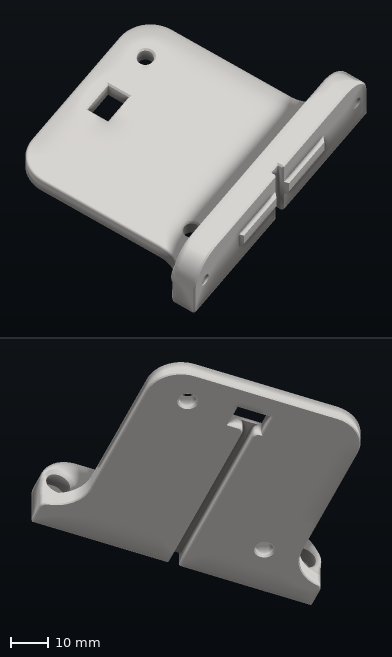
import cadquery as cq
import math

wall_length = 81.1
wall_height = 20.0
wall_thickness = 8.0
corner_radius = wall_height / 2
plate_thickness = 5.0
wall_back_x = 66.8
wall_front_x = wall_back_x - wall_thickness
half_length = wall_length / 2
half_width = half_length - corner_radius

wall_fillet = 1.95
plate_fillet = 1.0
edge_chamfer = 0.5
underside_chamfer = 0.3

wall_hole_diameter = 3.4
counterbore_diameter = 7.0
counterbore_mouth_chamfer = 1.0
counterbore_depth = 5.0
wall_hole_y = 35.5
wall_hole_z = wall_height / 2

plate_hole_diameter = 4.7
plate_hole_places = [(9.6, 18.8), (52.3, -21.0)]

window_length = 6.8
window_width = 9.7
window_center = (10.0, 0.7)
channel_width = 3.0
channel_depth = 3.5
channel_y = -0.65
channel_flare = 1.8
notch_depth = 1.7

pad_height = 1.0
pad_outer_y = 19.8
pad_width = 5.7


def make_plate():
    """Rounded plate whose sides flare out to the full wall length and round over at the flare tips."""
    bend = corner_radius * math.sqrt(0.5)
    flare_center_x = wall_front_x - corner_radius

    center_gap = corner_radius + wall_fillet
    tip_angle = math.asin(wall_fillet / center_gap)
    tip_center_x = flare_center_x + center_gap * math.cos(tip_angle)
    tip_center_y = half_length - wall_fillet
    flare_end = (
        flare_center_x + corner_radius * math.cos(tip_angle),
        half_length - corner_radius * math.sin(tip_angle),
    )
    flare_middle_angle = (tip_angle + math.pi / 2) / 2
    flare_middle = (
        flare_center_x + corner_radius * math.cos(flare_middle_angle),
        half_length - corner_radius * math.sin(flare_middle_angle),
    )
    tip_middle_angle = (tip_angle + math.pi / 2) / 2
    tip_middle = (
        tip_center_x - wall_fillet * math.sin(tip_middle_angle),
        tip_center_y + wall_fillet * math.cos(tip_middle_angle),
    )

    half = (
        cq.Workplane("XY")
        .lineTo(0, half_width - corner_radius)
        .threePointArc(
            (corner_radius - bend, half_width - corner_radius + bend),
            (corner_radius, half_width),
        )
        .lineTo(flare_center_x, half_width)
        .threePointArc(flare_middle, flare_end)
        .threePointArc(tip_middle, (tip_center_x, half_length))
        .lineTo(wall_back_x, half_length)
        .lineTo(wall_back_x, 0)
        .close()
        .extrude(plate_thickness)
    )
    plate = half.union(half.mirror("XZ")).clean()
    return plate.faces(">Z").edges("not >X").fillet(plate_fillet)


def make_wall():
    """Upright wall with rounded upper corners and a rounded front edge."""
    outline = (
        cq.Workplane("YZ", origin=(wall_front_x, 0, 0))
        .moveTo(-half_length, 0)
        .lineTo(-half_length, wall_height - corner_radius)
        .radiusArc((-half_width, wall_height), corner_radius)
        .lineTo(half_width, wall_height)
        .radiusArc((half_length, wall_height - corner_radius), corner_radius)
        .lineTo(half_length, 0)
        .close()
    )
    wall = outline.extrude(wall_thickness)
    for side in (1, -1):
        wall = wall.cut(make_wall_hole(side * wall_hole_y))

    front_box = cq.selectors.BoxSelector(
        (wall_front_x - 0.8, -half_length - 0.8, 0.1), (wall_front_x + 0.8, half_length + 0.8, wall_height + 0.8)
    )
    return wall.faces("<X").edges(front_box).edges("not %CIRCLE").fillet(wall_fillet)


def make_cable_route():
    """Window, underside channel and wall notch, joined into one cutter."""
    window_x, window_y = window_center
    window_end_x = window_x + window_length / 2
    window = (
        cq.Workplane("XY")
        .center(window_x, window_y)
        .rect(window_length, window_width)
        .extrude(plate_thickness)
    )
    side = channel_width / 2
    channel = (
        cq.Workplane("XY", origin=(window_end_x, channel_y, 0))
        .moveTo(0, -side - channel_flare)
        .radiusArc((channel_flare, -side), channel_flare)
        .lineTo(wall_back_x - window_end_x, -side)
        .lineTo(wall_back_x - window_end_x, side)
        .lineTo(channel_flare, side)
        .radiusArc((0, side + channel_flare), channel_flare)
        .close()
        .extrude(channel_depth)
    )
    notch = cq.Workplane("XY").box(
        notch_depth, channel_width, wall_height, centered=(False, True, False)
    ).translate((wall_back_x - notch_depth, channel_y, 0))
    return window.union(channel).union(notch)


def make_plate_hole(x, y):
    """Through hole with both mouths chamfered."""
    radius = plate_hole_diameter / 2
    mouth = radius + edge_chamfer
    return (
        cq.Workplane("XZ", origin=(x, y, 0))
        .lineTo(mouth, 0)
        .lineTo(radius, edge_chamfer)
        .lineTo(radius, plate_thickness - edge_chamfer)
        .lineTo(mouth, plate_thickness)
        .lineTo(0, plate_thickness)
        .close()
        .revolve(360, (0, 0, 0), (0, 1, 0))
    )


def make_wall_hole(y):
    """Counterbored hole along X, its wide mouth chamfered at the wall front."""
    small = wall_hole_diameter / 2
    large = counterbore_diameter / 2
    mouth = large + counterbore_mouth_chamfer
    return (
        cq.Workplane("XY", origin=(wall_front_x, y, wall_hole_z))
        .lineTo(0, mouth)
        .lineTo(counterbore_mouth_chamfer, large)
        .lineTo(counterbore_depth, large)
        .lineTo(counterbore_depth, small)
        .lineTo(wall_thickness, small)
        .lineTo(wall_thickness, 0)
        .close()
        .revolve(360, (0, 0, 0), (1, 0, 0))
    )


def make_pad(inner_y, outer_y):
    """Raised pad on the back of the wall with sides sloping at 45 degrees."""
    return (
        cq.Workplane("YZ", origin=(wall_back_x, (inner_y + outer_y) / 2, wall_hole_z))
        .rect(abs(outer_y - inner_y), pad_width)
        .extrude(pad_height, taper=45)
    )


def upper_mouth_edges(shape, center, size, z):
    """Edges at height z that lie inside a rectangle around center."""
    x, y = center
    margin = 0.1
    reach_x = size[0] / 2 + margin
    reach_y = size[1] / 2 + margin
    box = cq.selectors.BoxSelector(
        (x - reach_x, y - reach_y, z - margin),
        (x + reach_x, y + reach_y, z + margin),
        boundingbox=True,
    )
    return shape.edges(box)


body = make_plate().union(make_wall()).cut(make_cable_route())

notch_center = (wall_back_x - notch_depth / 2, channel_y)
body = body.faces("<Z").edges("not >X").chamfer(underside_chamfer)
outer_edges = body.faces(">X").edges("not %CIRCLE")
window_edges = upper_mouth_edges(body, window_center, (window_length, window_width), plate_thickness)
notch_edges = upper_mouth_edges(body, notch_center, (notch_depth, channel_width), wall_height)
body = outer_edges.add(window_edges).add(notch_edges).chamfer(edge_chamfer)

for hole_x, hole_y in plate_hole_places:
    body = body.cut(make_plate_hole(hole_x, hole_y))

for side in (1, -1):
    pad_inner_y = channel_y + side * (channel_width / 2 + edge_chamfer)
    body = body.union(make_pad(pad_inner_y, side * pad_outer_y))

result = body